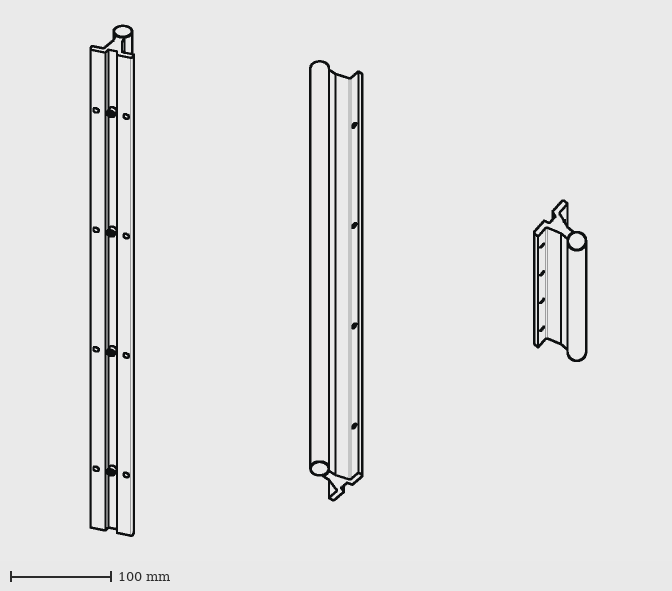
import cadquery as cq

LENGTH = 609.5
BASE_WIDTH = 44.5
OVERALL_HEIGHT = 47.5

BASE_THICKNESS = 6.0
BASE_EDGE_RADIUS = 2.0

SHAFT_DIAMETER = 19.0
SHAFT_RADIUS = SHAFT_DIAMETER / 2
SHAFT_HEIGHT = OVERALL_HEIGHT - SHAFT_RADIUS
SHAFT_CHAMFER = 0.5
SHAFT_END_GAP = 0.5

NECK_WIDTH = 9.0
NECK_START = 21.5
STEM_FOOT_WIDTH = 19.5
STEM_FOOT_RADIUS = 2.0

GROOVE_FLOOR_WIDTH = 9.0
GROOVE_MOUTH_WIDTH = 12.0
GROOVE_DEPTH = 5.5

STATION_COUNT = 4
STATION_PITCH = LENGTH / STATION_COUNT
STATIONS = [(i + 0.5) * STATION_PITCH for i in range(STATION_COUNT)]

MOUNT_HOLE_DIAMETER = 5.5
MOUNT_HOLE_SPACING = 32.0

SCREW_DIAMETER = 8.0
SCREW_PROTRUSION = 0.5
SOCKET_DIAMETER = 4.0
SOCKET_DEPTH = 3.0


def make_profile():
    """Cross-section of the rail, without rounded corners; the underside lies on Y = 0."""
    right_side = [
        (GROOVE_FLOOR_WIDTH / 2, GROOVE_DEPTH),
        (GROOVE_MOUTH_WIDTH / 2, 0),
        (BASE_WIDTH / 2, 0),
        (BASE_WIDTH / 2, BASE_THICKNESS),
        (STEM_FOOT_WIDTH / 2, BASE_THICKNESS),
        (NECK_WIDTH / 2, NECK_START),
        (NECK_WIDTH / 2, SHAFT_HEIGHT),
    ]
    left_side = [(-x, y) for x, y in reversed(right_side)]
    return cq.Workplane("XY").polyline(right_side + left_side).close()


def round_long_edges(body, x, y, radius):
    """Fillet the pair of lengthwise edges that run through (x, y) and (-x, y)."""
    for edge_x in (-x, x):
        nearest = cq.selectors.NearestToPointSelector((edge_x, y, LENGTH / 2))
        body = body.edges("|Z").edges(nearest).fillet(radius)
    return body


def make_shaft_seat():
    """Round trough that the shaft rests in, running the full length of the rail."""
    return cq.Workplane("XY", origin=(0, SHAFT_HEIGHT, 0)).circle(SHAFT_RADIUS).extrude(LENGTH)


def make_mounting_holes():
    """Holes straight through the base on both sides of the stem."""
    half_spacing = MOUNT_HOLE_SPACING / 2
    centres = [(x, z) for x in (-half_spacing, half_spacing) for z in STATIONS]
    return (
        cq.Workplane("XZ")
        .pushPoints(centres)
        .circle(MOUNT_HOLE_DIAMETER / 2)
        .extrude(-BASE_THICKNESS)
    )


def make_rail():
    body = make_profile().extrude(LENGTH)
    body = round_long_edges(body, STEM_FOOT_WIDTH / 2, BASE_THICKNESS, STEM_FOOT_RADIUS)
    body = round_long_edges(body, BASE_WIDTH / 2, 0, BASE_EDGE_RADIUS)
    return body.cut(make_shaft_seat()).cut(make_mounting_holes())


def make_shaft():
    return (
        cq.Workplane("XY", origin=(0, SHAFT_HEIGHT, SHAFT_END_GAP))
        .circle(SHAFT_RADIUS)
        .extrude(LENGTH - SHAFT_END_GAP)
        .faces("|Z")
        .chamfer(SHAFT_CHAMFER)
    )


def make_screw(z):
    """Screw standing on the groove floor, with a hexagon socket in its outer face."""
    return (
        cq.Workplane("XZ", origin=(0, GROOVE_DEPTH, z))
        .circle(SCREW_DIAMETER / 2)
        .extrude(GROOVE_DEPTH + SCREW_PROTRUSION)
        .faces("<Y")
        .workplane()
        .polygon(6, SOCKET_DIAMETER)
        .cutBlind(-SOCKET_DEPTH)
    )


rail = make_rail()
shaft = make_shaft()
screws = [make_screw(z) for z in STATIONS]

result = cq.Compound.makeCompound([rail.val(), shaft.val(), *[screw.val() for screw in screws]])